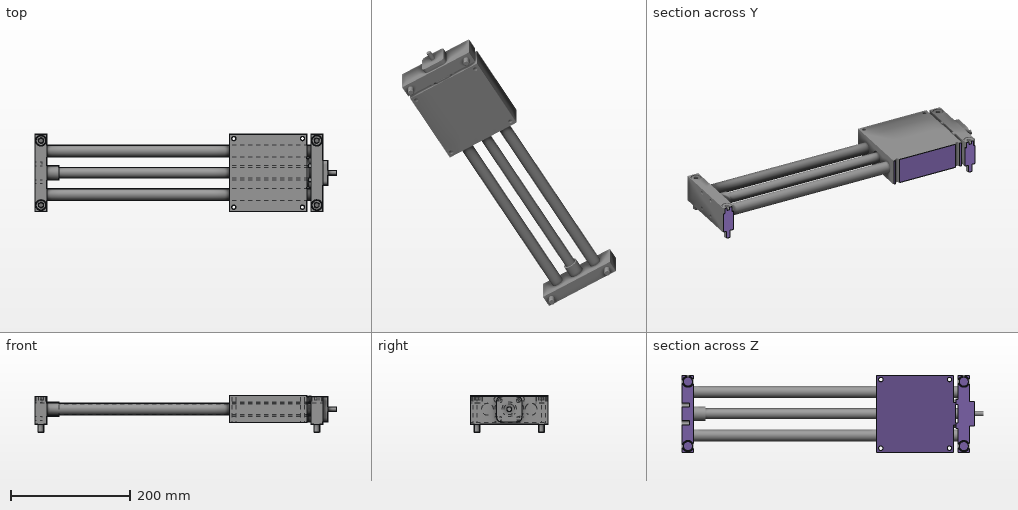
import cadquery as cq


plate_thickness = 20
plate_width = 130
plate_top = 21.7
plate_bottom = -25.3
plate_height = plate_top - plate_bottom
drive_plate_x = 462
drive_plate_end = drive_plate_x + plate_thickness

tapped_hole_diameter = 6.2
tapped_hole_pitch = 30
tapped_hole_centre_z = -0.7
tapped_hole_depth = 12

screw_spacing = 108
screw_diameter = 10
screw_head_diameter = 16
screw_head_height = 10
counterbore_diameter = 18
counterbore_depth = 11
screw_protrusion = 13.5
screw_tip_chamfer = 1
socket_across_corners = 9.2
socket_depth = 5

guide_rod_diameter = 20
guide_rod_spacing = 73
lead_screw_diameter = 18
collar_diameter = 24
collar_length = 20

flange_size = 42
flange_corner_radius = 7
flange_thickness = 8.5
drive_shaft_diameter = 8
overall_length = 505
bolt_head_diameter = 10.5
bolt_head_height = 3.5
bolt_spacing_y = 40
bolt_spacing_z = 33

carriage_length = 130
carriage_width = 130
carriage_top = 23.2
carriage_bottom = -22.3
carriage_height = carriage_top - carriage_bottom
carriage_end = 455.5
carriage_x = carriage_end - carriage_length
corner_hole_diameter = 6.65
corner_hole_spacing = 115
nut_bore_diameter = 24
nut_flange_diameter = 48
nut_flange_height = 42
nut_flange_thickness = 3


def block_on_x(x_start, bottom, length, width, height):
    return (
        cq.Workplane("XY", origin=(x_start, 0, bottom))
        .box(length, width, height, centered=(False, True, False))
    )


def cylinder_x(x_start, length, diameter, y=0):
    return cq.Workplane("YZ", origin=(x_start, y, 0)).circle(diameter / 2).extrude(length)


def end_plate(x_start):
    """One end plate with its two fixing screws seated in counterbores."""
    plate = block_on_x(x_start, plate_bottom, plate_thickness, plate_width, plate_height)
    seat = plate_top - counterbore_depth
    for side in (-1, 1):
        axis = (x_start + plate_thickness / 2, side * screw_spacing / 2)
        counterbore = (
            cq.Workplane("XY", origin=(*axis, seat))
            .circle(counterbore_diameter / 2)
            .extrude(counterbore_depth)
        )
        head = (
            cq.Workplane("XY", origin=(*axis, seat))
            .circle(screw_head_diameter / 2)
            .extrude(screw_head_height)
            .faces(">Z")
            .workplane()
            .transformed(rotate=(0, 0, 90))
            .polygon(6, socket_across_corners)
            .cutBlind(-socket_depth)
        )
        shank = (
            cq.Workplane("XY", origin=(*axis, plate_bottom))
            .circle(screw_diameter / 2)
            .extrude(-screw_protrusion)
            .faces("<Z")
            .chamfer(screw_tip_chamfer)
        )
        plate = plate.cut(counterbore).union(head).union(shank)
    return plate


def idle_plate():
    tapped_holes = (
        cq.Workplane("YZ", origin=(0, 0, tapped_hole_centre_z))
        .rect(tapped_hole_pitch, tapped_hole_pitch, forConstruction=True)
        .vertices()
        .circle(tapped_hole_diameter / 2)
        .extrude(tapped_hole_depth)
    )
    return end_plate(0).cut(tapped_holes)


def drive_plate():
    """End plate with the motor flange and shaft outside and four bolt heads inside."""
    flange = (
        cq.Workplane("YZ", origin=(drive_plate_end, 0, 0))
        .rect(flange_size, flange_size)
        .extrude(flange_thickness)
        .edges("|X")
        .fillet(flange_corner_radius)
    )
    shaft = cylinder_x(drive_plate_end, overall_length - drive_plate_end, drive_shaft_diameter)
    bolt_heads = (
        cq.Workplane("YZ", origin=(drive_plate_x, 0, 0))
        .rect(bolt_spacing_y, bolt_spacing_z, forConstruction=True)
        .vertices()
        .circle(bolt_head_diameter / 2)
        .extrude(-bolt_head_height)
    )
    return end_plate(drive_plate_x).union(flange).union(shaft).union(bolt_heads)


def make_frame():
    rod_length = drive_plate_x - plate_thickness
    frame = idle_plate().union(drive_plate())
    for side in (-1, 1):
        rod = cylinder_x(plate_thickness, rod_length, guide_rod_diameter, side * guide_rod_spacing / 2)
        frame = frame.union(rod)
    frame = frame.union(cylinder_x(plate_thickness, rod_length, lead_screw_diameter))
    return frame.union(cylinder_x(plate_thickness, collar_length, collar_diameter))


def make_carriage():
    """Sliding block bored for the rods, with the flange of the screw nut on its drive-side face."""
    block = block_on_x(carriage_x, carriage_bottom, carriage_length, carriage_width, carriage_height)
    corner_holes = (
        cq.Workplane("XY", origin=(carriage_x + carriage_length / 2, 0, carriage_bottom))
        .rect(corner_hole_spacing, corner_hole_spacing, forConstruction=True)
        .vertices()
        .circle(corner_hole_diameter / 2)
        .extrude(carriage_height)
    )
    flats = (
        cq.Workplane("YZ", origin=(carriage_end, 0, 0))
        .rect(nut_flange_diameter, nut_flange_height)
        .extrude(nut_flange_thickness)
    )
    nut_flange = cylinder_x(carriage_end, nut_flange_thickness, nut_flange_diameter).intersect(flats)
    carriage = block.cut(corner_holes).union(nut_flange)

    bore_length = carriage_length + nut_flange_thickness
    carriage = carriage.cut(cylinder_x(carriage_x, bore_length, nut_bore_diameter))
    for side in (-1, 1):
        rod_bore = cylinder_x(carriage_x, bore_length, guide_rod_diameter, side * guide_rod_spacing / 2)
        carriage = carriage.cut(rod_bore)
    return carriage


frame = make_frame()
carriage = make_carriage()

result = cq.Compound.makeCompound([frame.val(), carriage.val()])